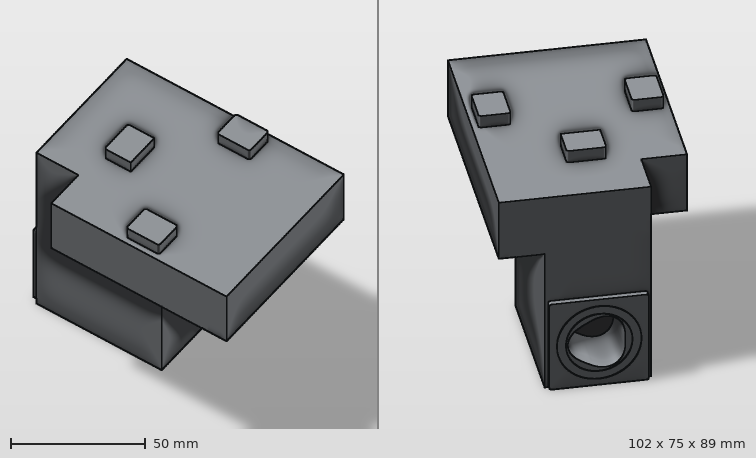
import cadquery as cq
import math

total_length = 102.0
total_width = 75.0
total_height = 89.0

plate_size = 37.7
plate_thickness = 2.4
ring_height = 0.3
ring_outer_diameter = 32.0
ring_inner_diameter = 25.2
socket_height = 19.2

socket_mean_radius = 10.9
socket_lobe_height = 0.9
socket_depth = 20.4
socket_taper = 1 / 40
socket_curve_points = 36

shank_length = 57.2
shank_width = 40.3
head_thickness = 24.9
head_notch_length = 19.2
gusset_size = 6.4

key_height = 5.1
key_long_side = 15.0
key_short_side = 12.0
front_key_x = 30.8
side_key_x = 61.9
side_key_y = 29.0
corner_radius = 1.0

plate_front_x = ring_height
body_front_x = ring_height + plate_thickness
shank_back_x = body_front_x + shank_length
head_front_x = body_front_x + head_notch_length
body_height = total_height - key_height
head_bottom_z = body_height - head_thickness


def make_shank():
    """Upright block with a sloped gusset under the overhanging head."""
    profile = (
        cq.Workplane("XZ")
        .moveTo(body_front_x, 0)
        .lineTo(shank_back_x, 0)
        .lineTo(shank_back_x, head_bottom_z - gusset_size)
        .lineTo(shank_back_x + gusset_size, head_bottom_z)
        .lineTo(shank_back_x + gusset_size, body_height)
        .lineTo(body_front_x, body_height)
        .close()
    )
    return profile.extrude(shank_width / 2, both=True)


def make_head():
    """Overhanging slab with one front corner notched away."""
    return (
        cq.Workplane("XY", origin=(0, 0, head_bottom_z))
        .moveTo(body_front_x, total_width / 2)
        .lineTo(total_length, total_width / 2)
        .lineTo(total_length, -total_width / 2)
        .lineTo(head_front_x, -total_width / 2)
        .lineTo(head_front_x, -shank_width / 2)
        .lineTo(body_front_x, -shank_width / 2)
        .close()
        .extrude(head_thickness)
    )


def make_key(x, y, x_size, y_size, rounded_edges):
    """Rectangular key with the chosen upright edges rounded."""
    return (
        cq.Workplane("XY", origin=(x, y, body_height))
        .rect(x_size, y_size)
        .extrude(key_height)
        .edges(rounded_edges)
        .fillet(corner_radius)
    )


def socket_plane(x):
    """Plane across the socket axis at the given X."""
    return cq.Workplane("YZ", origin=(x, 0, socket_height))


def make_flange():
    """Square plate carrying a shallow raised ring."""
    plate = (
        socket_plane(plate_front_x)
        .rect(plate_size, plate_size)
        .extrude(plate_thickness)
        .edges("|X")
        .fillet(corner_radius)
    )
    ring = (
        socket_plane(0)
        .circle(ring_outer_diameter / 2)
        .circle(ring_inner_diameter / 2)
        .extrude(ring_height)
    )
    return plate.union(ring)


def socket_section(depth):
    """Closed three-lobed outline at a depth below the plate, one lobe toward +Y."""
    points = []
    for i in range(socket_curve_points):
        angle = 2 * math.pi * i / socket_curve_points
        radius = socket_mean_radius + socket_lobe_height * math.cos(3 * angle) - socket_taper * depth
        points.append((radius * math.cos(angle), radius * math.sin(angle)))
    outline = socket_plane(plate_front_x + depth).spline(points, periodic=True)
    return outline.wire().val()


def make_socket():
    """Blind tapered hole between two lobed sections."""
    return cq.Solid.makeLoft([socket_section(0), socket_section(socket_depth)])


result = make_shank().union(make_head()).union(make_flange())
result = result.union(make_key(front_key_x, 0, key_short_side, key_long_side, "|Z and <X"))
for side in (-1, 1):
    result = result.union(make_key(side_key_x, side * side_key_y, key_long_side, key_short_side, "|Z"))
result = result.cut(cq.Workplane(make_socket()))